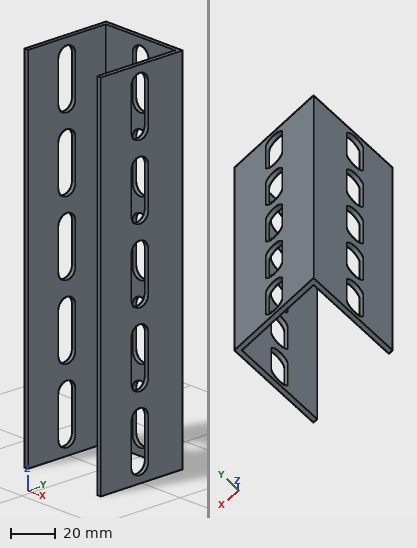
import cadquery as cq

width = 50.0
depth = 50.0
height = 200.0
thickness = 2.5

slot_count = 5
slot_pitch = height / slot_count
slot_length = 32.0
slot_width = 10.5

flange_slot_y = -thickness / 2


def channel():
    """U-shaped channel centred on the origin, with the web at +Y."""
    cavity = cq.Workplane("XY").box(width - 2 * thickness, depth, height).translate((0, -thickness, 0))
    return cq.Workplane("XY").box(width, depth, height).cut(cavity)


def slot_row(plane, center, reach):
    """Column of vertical slots on a plane, cutting equally to both sides of it."""
    return (
        cq.Workplane(plane)
        .center(center, 0)
        .rarray(2, slot_pitch, 1, slot_count)
        .slot2D(slot_length, slot_width, 90)
        .extrude(reach, both=True)
    )


web_slots = slot_row("XZ", 0, depth)
flange_slots = slot_row("YZ", flange_slot_y, width)

result = channel().cut(web_slots).cut(flange_slots)